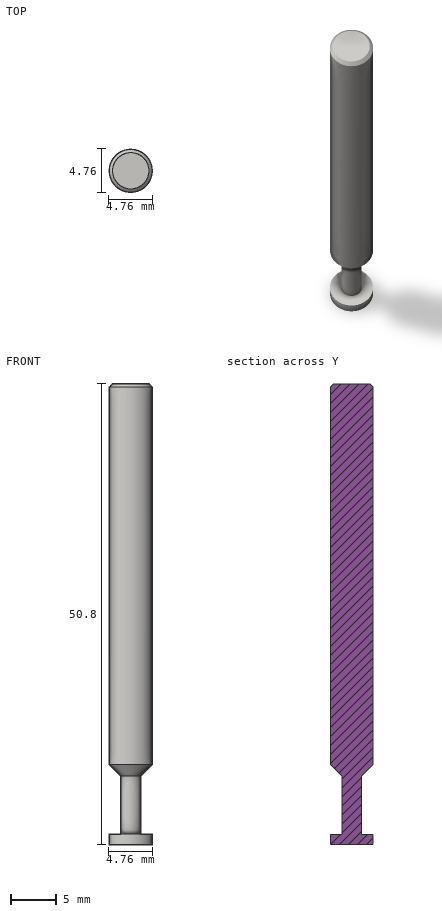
import cadquery as cq

length = 50.8
diameter = 4.7625
radius = diameter / 2

neck_diameter = 2.25
neck_radius = neck_diameter / 2
neck_length = 6.4
disc_thickness = 1.19

shoulder_height = radius - neck_radius
shoulder_start = disc_thickness + neck_length
body_start = shoulder_start + shoulder_height

top_chamfer = 0.38

profile = (
    cq.Workplane("XZ")
    .moveTo(0, 0)
    .lineTo(radius, 0)
    .lineTo(radius, disc_thickness)
    .lineTo(neck_radius, disc_thickness)
    .lineTo(neck_radius, shoulder_start)
    .lineTo(radius, body_start)
    .lineTo(radius, length - top_chamfer)
    .lineTo(radius - top_chamfer, length)
    .lineTo(0, length)
    .close()
)

result = profile.revolve(360, (0, 0, 0), (0, 1, 0))